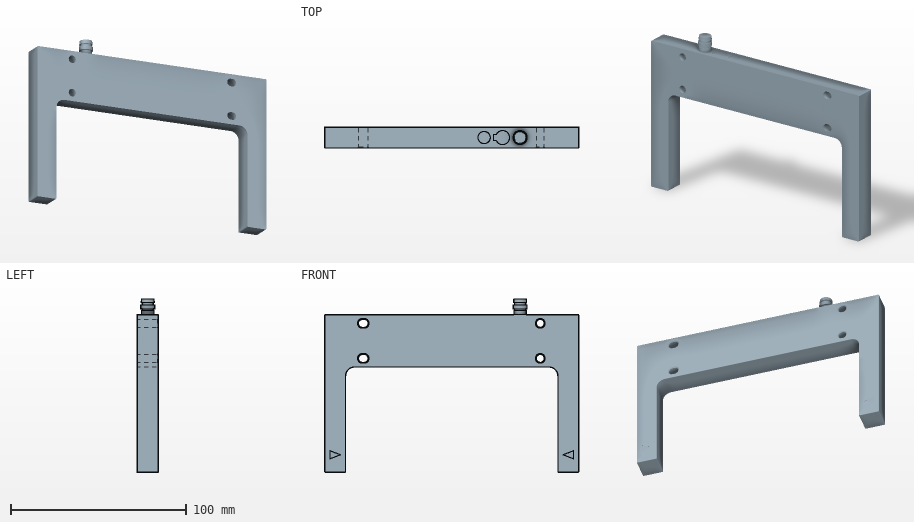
import cadquery as cq

WIDTH = 145.0
DEPTH = 12.0
HEIGHT = 90.0
LEG_WIDTH = 12.0
BRIDGE_HEIGHT = 30.0
THROAT_RADIUS = 5.0
EDGE_RADIUS = 0.5
FRONT_EDGE_RADIUS = 0.3

LEG_LENGTH = HEIGHT - BRIDGE_HEIGHT
THROAT_WIDTH = WIDTH - 2 * LEG_WIDTH
MID_DEPTH = DEPTH / 2

HOLE_DIAMETER = 4.5
HOLE_CHAMFER = 0.5
HOLE_CHAMFER_ANGLE = 45
SLOT_LENGTH = 5.5
HOLE_SIDE_INSET = 22.0
HOLE_TOP_INSET = 5.0
HOLE_PITCH = 20.0
HOLE_X = WIDTH / 2 - HOLE_SIDE_INSET
UPPER_HOLE_Z = HEIGHT - HOLE_TOP_INSET

PLUG_X = 39.0
PLUG_RADIUS = 3.6
PLUG_NECK_RADIUS = 3.25
PLUG_COLLAR_RADIUS = 4.0
PLUG_BARB_RADIUS = 3.8
PLUG_STEPS = [
    (PLUG_RADIUS, PLUG_RADIUS, 2.4),
    (PLUG_NECK_RADIUS, PLUG_NECK_RADIUS, 3.2),
    (PLUG_COLLAR_RADIUS, PLUG_COLLAR_RADIUS, 5.5),
    (PLUG_NECK_RADIUS, PLUG_NECK_RADIUS, 6.8),
    (PLUG_BARB_RADIUS, PLUG_RADIUS, 9.0),
]

MARK_DEPTH = 0.1
WINDOW_X = 18.5
WINDOW_DIAMETER = 7.0
ADJUSTER_X = 29.0
ADJUSTER_DIAMETER = 8.0
POINTER_REACH = 5.3
POINTER_WIDTH = 3.3
ARROW_LENGTH = 6.0
ARROW_WIDTH = 4.6
ARROW_INSET = 3.0
ARROW_Z = 10.0
ARROW_BASE_X = WIDTH / 2 - ARROW_INSET


def make_body():
    """Bridge with two legs, rounded throat corners and softened outer edges."""
    block = cq.Workplane("XY").box(WIDTH, DEPTH, HEIGHT, centered=(True, False, False))
    throat = cq.Workplane("XY").box(THROAT_WIDTH, DEPTH, LEG_LENGTH, centered=(True, False, False))
    throat = throat.edges("|Y and >Z").fillet(THROAT_RADIUS)
    fork = block.cut(throat)
    fork = fork.edges("|Y and (>Z or <Z)").fillet(EDGE_RADIUS)
    return fork.faces("<Y").edges().fillet(FRONT_EDGE_RADIUS)


def make_hole(x, z, length):
    """Through hole along Y, stretched to `length` in X and chamfered at the front."""
    def outline(diameter, overall):
        plane = cq.Workplane("XZ", origin=(x, 0, z))
        if overall > diameter:
            return plane.slot2D(overall, diameter)
        return plane.circle(diameter / 2)

    bore = outline(HOLE_DIAMETER, length).extrude(-DEPTH)
    mouth_diameter = HOLE_DIAMETER + 2 * HOLE_CHAMFER
    mouth_length = length + 2 * HOLE_CHAMFER
    mouth = outline(mouth_diameter, mouth_length).extrude(-HOLE_CHAMFER, taper=HOLE_CHAMFER_ANGLE)
    return bore.union(mouth)


def make_plug():
    """Stepped round plug, turned about its own vertical axis."""
    profile = cq.Workplane("XZ", origin=(PLUG_X, MID_DEPTH, HEIGHT)).moveTo(0, 0)
    base = 0
    for bottom_radius, top_radius, top in PLUG_STEPS:
        profile = profile.lineTo(bottom_radius, base).lineTo(top_radius, top)
        base = top
    return profile.lineTo(0, base).close().revolve(360, (0, 0), (0, 1))


def make_top_marks():
    """Indicator window and adjuster disc sunk into the top face."""
    plane = cq.Workplane("XY", origin=(0, MID_DEPTH, HEIGHT))
    window = plane.center(WINDOW_X, 0).circle(WINDOW_DIAMETER / 2).extrude(-MARK_DEPTH)
    adjuster = plane.center(ADJUSTER_X, 0).circle(ADJUSTER_DIAMETER / 2).extrude(-MARK_DEPTH)
    pointer = (
        plane.center(ADJUSTER_X - POINTER_REACH / 2, 0)
        .rect(POINTER_REACH, POINTER_WIDTH)
        .extrude(-MARK_DEPTH)
    )
    return window.union(adjuster).union(pointer)


def make_arrow(side):
    """Triangle on the front of one leg (side = -1 left, +1 right), pointing to the throat."""
    base_x = side * ARROW_BASE_X
    tip_x = side * (ARROW_BASE_X - ARROW_LENGTH)
    return (
        cq.Workplane("XZ")
        .polyline([
            (base_x, ARROW_Z - ARROW_WIDTH / 2),
            (base_x, ARROW_Z + ARROW_WIDTH / 2),
            (tip_x, ARROW_Z),
        ])
        .close()
        .extrude(-MARK_DEPTH)
    )


result = make_body().union(make_plug()).cut(make_top_marks())
for hole_z in (UPPER_HOLE_Z, UPPER_HOLE_Z - HOLE_PITCH):
    result = result.cut(make_hole(HOLE_X, hole_z, HOLE_DIAMETER))
    result = result.cut(make_hole(-HOLE_X, hole_z, SLOT_LENGTH))
for leg_side in (-1, 1):
    result = result.cut(make_arrow(leg_side))